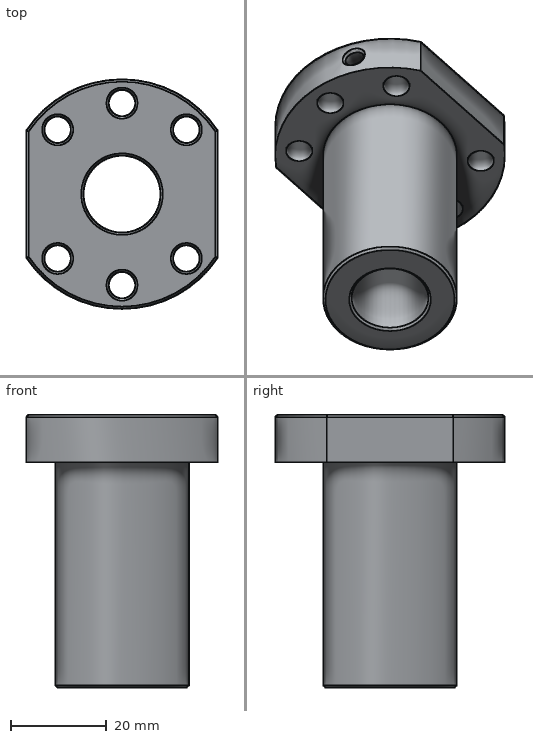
import cadquery as cq
import math

total_length = 57.0
flange_diameter = 48.0
flange_width = 40.0
flange_thickness = 10.0
body_diameter = 28.0
bore_diameter = 16.0
edge_chamfer = 0.5

mount_hole_diameter = 5.5
mount_circle_diameter = 38.0
mount_angles = (45, 90, 135, 225, 270, 315)

oil_hole_diameter = 4.0
oil_mouth_diameter = 5.2
oil_hole_angle = (90 + 135) / 2

flange_bottom = total_length - flange_thickness
flange_middle = total_length - flange_thickness / 2


def make_flange():
    """Disc with two flats facing -X and +X and a chamfered top outline."""
    base = cq.Workplane("XY").workplane(offset=flange_bottom)
    disc = base.circle(flange_diameter / 2).extrude(flange_thickness)
    flats = base.rect(flange_width, flange_diameter).extrude(flange_thickness)
    return disc.intersect(flats).faces(">Z").edges().chamfer(edge_chamfer)


def make_body():
    """Cylindrical barrel with a chamfered lower end."""
    barrel = cq.Workplane("XY").circle(body_diameter / 2).extrude(flange_bottom)
    return barrel.faces("<Z").edges().chamfer(edge_chamfer)


def vertical_hole_cutter(diameter, bottom, bottom_chamfer=0.0):
    """Cutter on the Z axis from bottom to the flange top, widened at its chamfered ends."""
    radius = diameter / 2
    profile = [(0, bottom), (radius + bottom_chamfer, bottom)]
    if bottom_chamfer > 0:
        profile.append((radius, bottom + bottom_chamfer))
    profile += [
        (radius, total_length - edge_chamfer),
        (radius + edge_chamfer, total_length),
        (0, total_length),
    ]
    return cq.Workplane("XZ").polyline(profile).close().revolve(360, (0, 0, 0), (0, 1, 0))


def oil_hole_cutter():
    """Blind radial drill from the flange rim down to the barrel radius, with a countersunk mouth."""
    floor_radius = body_diameter / 2
    rim_radius = flange_diameter / 2
    hole_radius = oil_hole_diameter / 2
    mouth_radius = oil_mouth_diameter / 2
    mouth_depth = mouth_radius - hole_radius
    profile = [
        (floor_radius, 0),
        (floor_radius, hole_radius),
        (rim_radius - mouth_depth, hole_radius),
        (rim_radius, mouth_radius),
        (rim_radius, 0),
    ]
    drill = cq.Workplane("XY").polyline(profile).close().revolve(360, (0, 0, 0), (1, 0, 0))
    return drill.rotate((0, 0, 0), (0, 0, 1), oil_hole_angle).translate((0, 0, flange_middle))


result = make_flange().union(make_body())
result = result.cut(vertical_hole_cutter(bore_diameter, 0, edge_chamfer))

mount_hole = vertical_hole_cutter(mount_hole_diameter, flange_bottom)
for angle in mount_angles:
    hole_x = mount_circle_diameter / 2 * math.cos(math.radians(angle))
    hole_y = mount_circle_diameter / 2 * math.sin(math.radians(angle))
    result = result.cut(mount_hole.translate((hole_x, hole_y, 0)))

result = result.cut(oil_hole_cutter())